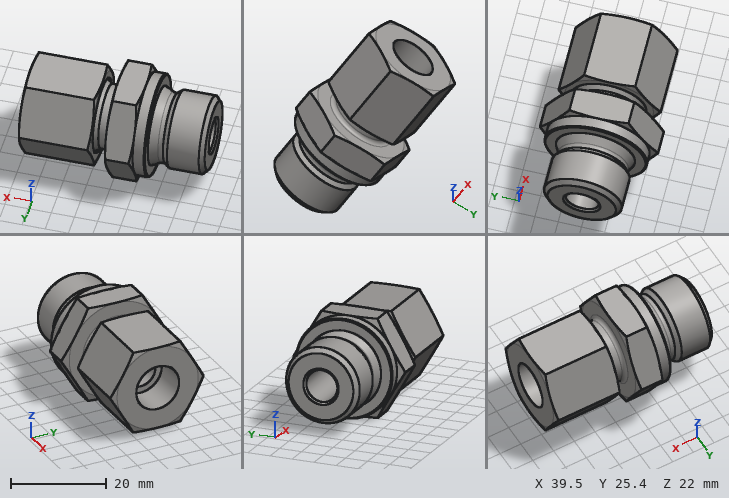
import cadquery as cq
import math

TOTAL_LENGTH = 39.5
PORT_THREAD_END = 7.85
GROOVE_ARC_START = 8.95
GROOVE_BOTTOM = 9.5
GROOVE_ARC_END = 10.05
COLLAR_START = 11.95
HEX_START = 14.58
HEX_END = 20.55
NECK_END = 23.05
NUT_START = 23.98
STUB_END = 31.6

PORT_THREAD_RADIUS = 8.37
GROOVE_RADIUS = 7.45
GROOVE_ARC_RADIUS = 7.55
SEAT_CONE_RADIUS = 8.5
NECK_RADIUS = 6.9
STUB_RADIUS = 7.98
BORE_RADIUS = 3.5
TUBE_HOLE_RADIUS = 5.0

TIP_CHAMFER = 1.03
COLLAR_CHAMFER = 0.25
BORE_CHAMFER = 0.47
NECK_FILLET = 0.9
STUB_LEAD_ANGLE = 30.0
CORNER_CHAMFER_ANGLE = 15.0

BODY_ACROSS_FLATS = 22.0
NUT_ACROSS_FLATS = 19.0

COLLAR_RADIUS = BODY_ACROSS_FLATS / 2


def cylinder(radius, start, end):
    """Cylinder on the X axis."""
    return cq.Workplane("YZ", origin=(start, 0, 0)).circle(radius).extrude(end - start)


def chamfered_hexagon(across_flats, start, end):
    """Hexagonal bar on the X axis with flats up and down and its corners turned off conically."""
    flat_radius = across_flats / 2
    corner_radius = flat_radius / math.cos(math.radians(30))
    corner_depth = (corner_radius - flat_radius) * math.tan(math.radians(CORNER_CHAMFER_ANGLE))
    bar = (
        cq.Workplane("YZ", origin=(start, 0, 0))
        .polygon(6, 2 * corner_radius)
        .extrude(end - start)
    )
    turned_envelope = (
        cq.Workplane("XY")
        .moveTo(start, 0)
        .lineTo(start, flat_radius)
        .lineTo(start + corner_depth, corner_radius)
        .lineTo(end - corner_depth, corner_radius)
        .lineTo(end, flat_radius)
        .lineTo(end, 0)
        .close()
        .revolve(360, (0, 0, 0), (1, 0, 0))
    )
    return bar.intersect(turned_envelope)


def port_end():
    """Threaded end with its rounded groove, conical seat and round collar."""
    return (
        cq.Workplane("XY")
        .moveTo(0, 0)
        .lineTo(0, PORT_THREAD_RADIUS - TIP_CHAMFER)
        .lineTo(TIP_CHAMFER, PORT_THREAD_RADIUS)
        .lineTo(PORT_THREAD_END, PORT_THREAD_RADIUS)
        .lineTo(GROOVE_ARC_START, GROOVE_ARC_RADIUS)
        .threePointArc((GROOVE_BOTTOM, GROOVE_RADIUS), (GROOVE_ARC_END, GROOVE_ARC_RADIUS))
        .lineTo(COLLAR_START, SEAT_CONE_RADIUS)
        .lineTo(COLLAR_START, COLLAR_RADIUS - COLLAR_CHAMFER)
        .lineTo(COLLAR_START + COLLAR_CHAMFER, COLLAR_RADIUS)
        .lineTo(HEX_START, COLLAR_RADIUS)
        .lineTo(HEX_START, 0)
        .close()
        .revolve(360, (0, 0, 0), (1, 0, 0))
    )


def nut_end():
    """Filleted neck behind the hexagon and the stub that goes into the nut."""
    lead_length = (STUB_RADIUS - NECK_RADIUS) / math.tan(math.radians(STUB_LEAD_ANGLE))
    return (
        cq.Workplane("XY")
        .moveTo(HEX_END, 0)
        .lineTo(HEX_END, NECK_RADIUS + NECK_FILLET)
        .radiusArc((HEX_END + NECK_FILLET, NECK_RADIUS), -NECK_FILLET)
        .lineTo(NECK_END, NECK_RADIUS)
        .lineTo(NECK_END + lead_length, STUB_RADIUS)
        .lineTo(STUB_END, STUB_RADIUS)
        .lineTo(STUB_END, 0)
        .close()
        .revolve(360, (0, 0, 0), (1, 0, 0))
    )


def bore():
    """Through bore, chamfered at the threaded end."""
    return (
        cq.Workplane("XY")
        .moveTo(0, 0)
        .lineTo(0, BORE_RADIUS + BORE_CHAMFER)
        .lineTo(BORE_CHAMFER, BORE_RADIUS)
        .lineTo(STUB_END, BORE_RADIUS)
        .lineTo(STUB_END, 0)
        .close()
        .revolve(360, (0, 0, 0), (1, 0, 0))
    )


def make_fitting_body():
    """Screw-in body: threaded end, collar, hexagon, neck and stub, bored through."""
    hexagon = chamfered_hexagon(BODY_ACROSS_FLATS, HEX_START, HEX_END)
    return port_end().union(hexagon).union(nut_end()).cut(bore())


def make_union_nut():
    """Hexagonal nut with a recess for the stub and a smaller hole for the tube."""
    stub_recess = cylinder(STUB_RADIUS, NUT_START, STUB_END)
    tube_hole = cylinder(TUBE_HOLE_RADIUS, STUB_END, TOTAL_LENGTH)
    hexagon = chamfered_hexagon(NUT_ACROSS_FLATS, NUT_START, TOTAL_LENGTH)
    return hexagon.cut(stub_recess).cut(tube_hole)


fitting_body = make_fitting_body()
union_nut = make_union_nut()

result = cq.Compound.makeCompound([fitting_body.val(), union_nut.val()])